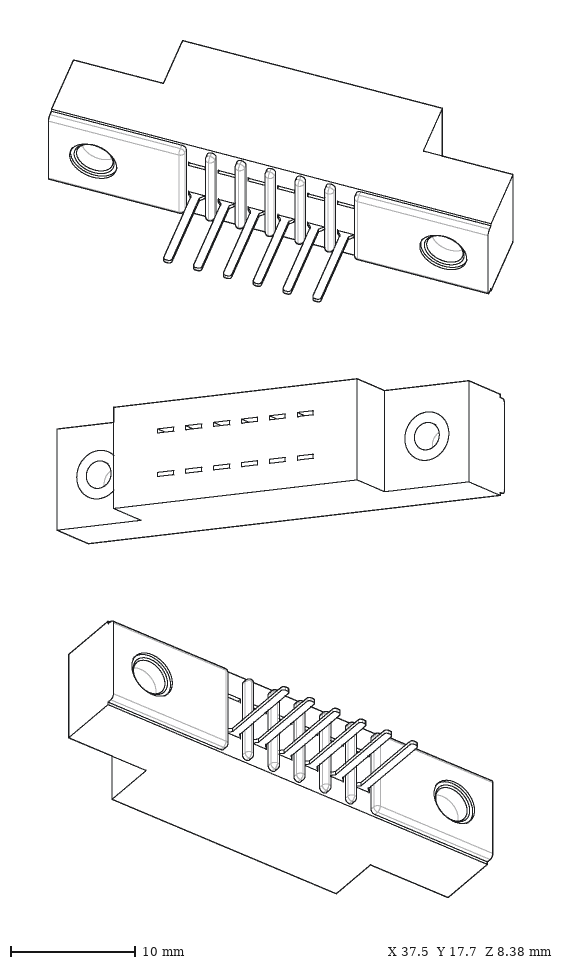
import cadquery as cq

HOUSING_LENGTH = 37.47
HOUSING_HEIGHT = 8.38
NOSE_LENGTH = 22.15
NOSE_DEPTH = 4.78
EAR_DEPTH = 5.51
BACK_Y = EAR_DEPTH + NOSE_DEPTH

CONTACT_PITCH = 2.54
CONTACT_COUNT = 6
CONTACT_ROW_Z = 1.80
FIRST_CONTACT_X = -(CONTACT_COUNT - 1) * CONTACT_PITCH / 2
CONTACT_XS = [FIRST_CONTACT_X + i * CONTACT_PITCH for i in range(CONTACT_COUNT)]

RELIEF_HEIGHT = 0.76
RELIEF_SPAN_Z = 7.87
RIB_WIDTH = 0.762
ROUNDING = 0.38
RIB_XS = [x + CONTACT_PITCH / 2 for x in CONTACT_XS[:-1]]
PAD_INNER_X = CONTACT_COUNT * CONTACT_PITCH / 2 - RIB_WIDTH / 2

BLADE_WIDTH = 1.44
CONTACT_THICKNESS = 0.34
TAIL_WIDTH = 0.70
CONTACT_LENGTH = 17.70
TAIL_LENGTH = CONTACT_LENGTH - BACK_Y
TAIL_TIP_RADIUS = 0.25
SHOULDER_DROP = (BLADE_WIDTH - TAIL_WIDTH) / 2

BUSHING_X = 14.92
BUSHING_DIAMETER = 4.0
BUSHING_RECESS = 0.25
BUSHING_FRONT_Y = BUSHING_RECESS - RELIEF_HEIGHT
BUSHING_LENGTH = EAR_DEPTH - BUSHING_FRONT_Y
MOUTH_DIAMETER = 3.1
MOUTH_DEPTH = 1.4
MOUTH_CHAMFER = 0.15
BORE_DIAMETER = 2.26
TAPER_LENGTH = 1.5


def box_between(x_min, x_max, y_min, y_max, height):
    """Box given by its X and Y limits, centred on Z = 0."""
    return (
        cq.Workplane("XY")
        .box(x_max - x_min, y_max - y_min, height, centered=(False, False, True))
        .translate((x_min, y_min, 0))
    )


def make_rib(x):
    """Upright rib with every edge rounded except where it meets the contact face."""
    rib = box_between(x - RIB_WIDTH / 2, x + RIB_WIDTH / 2, -RELIEF_HEIGHT, 0, RELIEF_SPAN_Z)
    return rib.edges("not >Y").fillet(ROUNDING)


def make_ear_pad():
    """Raised pad on the -X ear, rounded except at its base and its outer end."""
    pad = box_between(-HOUSING_LENGTH / 2, -PAD_INNER_X, -RELIEF_HEIGHT, 0, RELIEF_SPAN_Z)
    return pad.edges("not (>Y or <X)").fillet(ROUNDING)


def make_slot(x, z):
    """Cutter for one contact slot, open from the contact face to the back."""
    slot = box_between(x - BLADE_WIDTH / 2, x + BLADE_WIDTH / 2, 0, BACK_Y, CONTACT_THICKNESS)
    return slot.translate((0, 0, z))


def make_bushing_hole(x):
    """Cutter for the hole through an ear, from the pad face to the back of the ear."""
    return (
        cq.Workplane("XZ", origin=(x, -RELIEF_HEIGHT, 0))
        .circle(BUSHING_DIAMETER / 2)
        .extrude(-(RELIEF_HEIGHT + EAR_DEPTH))
    )


def make_housing():
    ears = box_between(-HOUSING_LENGTH / 2, HOUSING_LENGTH / 2, 0, EAR_DEPTH, HOUSING_HEIGHT)
    nose = box_between(-NOSE_LENGTH / 2, NOSE_LENGTH / 2, EAR_DEPTH, BACK_Y, HOUSING_HEIGHT)
    body = ears.union(nose)

    for x in CONTACT_XS:
        for z in (CONTACT_ROW_Z, -CONTACT_ROW_Z):
            body = body.cut(make_slot(x, z))

    pad = make_ear_pad()
    body = body.union(pad).union(pad.mirror("YZ"))
    for x in RIB_XS:
        body = body.union(make_rib(x))

    for x in (-BUSHING_X, BUSHING_X):
        body = body.cut(make_bushing_hole(x))
    return body


def make_contact(x):
    """Flat contact: blade in the slot, tapered shoulders, tail with rounded tip corners."""
    half_blade = BLADE_WIDTH / 2
    half_tail = TAIL_WIDTH / 2
    outline = [
        (-half_blade, BACK_Y),
        (-half_blade, 0),
        (-half_tail, -SHOULDER_DROP),
        (-half_tail, -TAIL_LENGTH),
        (half_tail, -TAIL_LENGTH),
        (half_tail, -SHOULDER_DROP),
        (half_blade, 0),
        (half_blade, BACK_Y),
    ]
    contact = (
        cq.Workplane("XY", origin=(0, 0, -CONTACT_THICKNESS / 2))
        .polyline(outline)
        .close()
        .extrude(CONTACT_THICKNESS)
        .edges("|Z and <Y")
        .fillet(TAIL_TIP_RADIUS)
    )
    return contact.translate((x, 0, -CONTACT_ROW_Z))


def make_bushing(x):
    """Sleeve with a chamfered mouth that tapers down to a smaller through bore."""
    mouth_radius = MOUTH_DIAMETER / 2
    bore_radius = BORE_DIAMETER / 2
    profile = [
        (BUSHING_DIAMETER / 2, 0),
        (mouth_radius + MOUTH_CHAMFER, 0),
        (mouth_radius, MOUTH_CHAMFER),
        (mouth_radius, MOUTH_DEPTH),
        (bore_radius, MOUTH_DEPTH + TAPER_LENGTH),
        (bore_radius, BUSHING_LENGTH),
        (BUSHING_DIAMETER / 2, BUSHING_LENGTH),
    ]
    sleeve = cq.Workplane("XY").polyline(profile).close().revolve(360, (0, 0), (0, 1))
    return sleeve.translate((x, BUSHING_FRONT_Y, 0))


housing = make_housing()
contacts = [make_contact(x) for x in CONTACT_XS]
bushings = [make_bushing(x) for x in (-BUSHING_X, BUSHING_X)]

result = cq.Compound.makeCompound(
    [
        housing.val(),
        *[contact.val() for contact in contacts],
        *[bushing.val() for bushing in bushings],
    ]
)